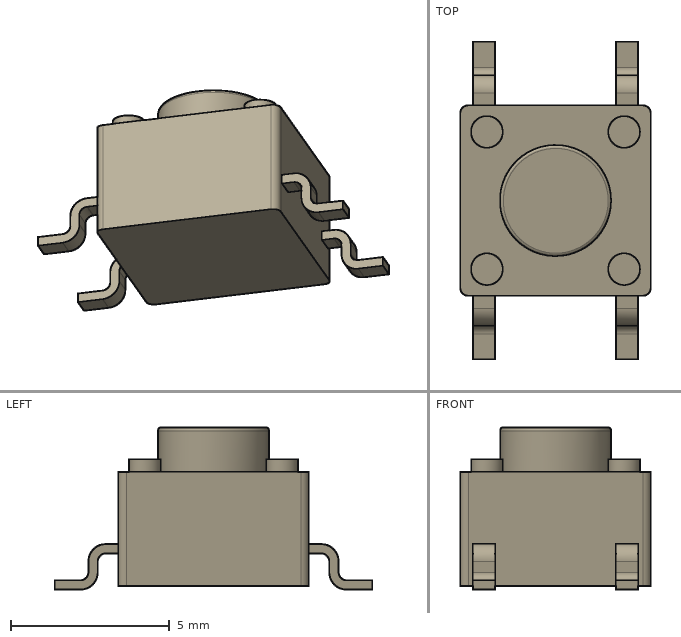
import cadquery as cq

body_width = 6.0
body_bottom = 0.11
body_height = 3.6
body_corner_radius = 0.25
body_top = body_bottom + body_height

button_radius = 1.75
button_height = 1.4
button_edge_radius = 0.1

peg_radius = 0.5
peg_height = 0.4
peg_offset = 2.16

lead_span = 10.0
lead_width = 0.7
lead_offset = 2.25
lead_thickness = 0.3
lead_height = 1.44
lead_riser_outer = 3.94
bend_inner_radius = 0.25
bend_outer_radius = bend_inner_radius + lead_thickness
lead_embed = 0.5


def make_body():
    plate = cq.Workplane("XY").workplane(offset=body_bottom).rect(body_width, body_width)
    return plate.extrude(body_height).edges("|Z").fillet(body_corner_radius)


def make_button():
    disc = cq.Workplane("XY").workplane(offset=body_top).circle(button_radius)
    return disc.extrude(button_height).faces(">Z").edges().fillet(button_edge_radius)


def make_pegs():
    plane = cq.Workplane("XY").workplane(offset=body_top)
    centers = plane.rect(2 * peg_offset, 2 * peg_offset, forConstruction=True).vertices()
    return centers.circle(peg_radius).extrude(peg_height)


def make_lead(x_center):
    """One S-bent lead leaving the housing on its +Y side."""
    start = body_width / 2 - lead_embed
    tip = lead_span / 2
    riser_inner = lead_riser_outer - lead_thickness
    shoulder_end = lead_riser_outer - bend_outer_radius
    foot_start = riser_inner + bend_outer_radius
    upper_bend_z = lead_height - bend_outer_radius
    lower_bend_z = bend_outer_radius
    profile = (
        cq.Workplane("YZ")
        .workplane(offset=x_center - lead_width / 2)
        .moveTo(start, lead_height)
        .lineTo(shoulder_end, lead_height)
        .radiusArc((lead_riser_outer, upper_bend_z), bend_outer_radius)
        .lineTo(lead_riser_outer, lower_bend_z)
        .radiusArc((foot_start, lead_thickness), -bend_inner_radius)
        .lineTo(tip, lead_thickness)
        .lineTo(tip, 0)
        .lineTo(foot_start, 0)
        .radiusArc((riser_inner, lower_bend_z), bend_outer_radius)
        .lineTo(riser_inner, upper_bend_z)
        .radiusArc((shoulder_end, lead_height - lead_thickness), -bend_inner_radius)
        .lineTo(start, lead_height - lead_thickness)
        .close()
    )
    return profile.extrude(lead_width)


result = make_body().union(make_button()).union(make_pegs())
for x_center in (-lead_offset, lead_offset):
    lead = make_lead(x_center)
    result = result.union(lead).union(lead.mirror("XZ"))